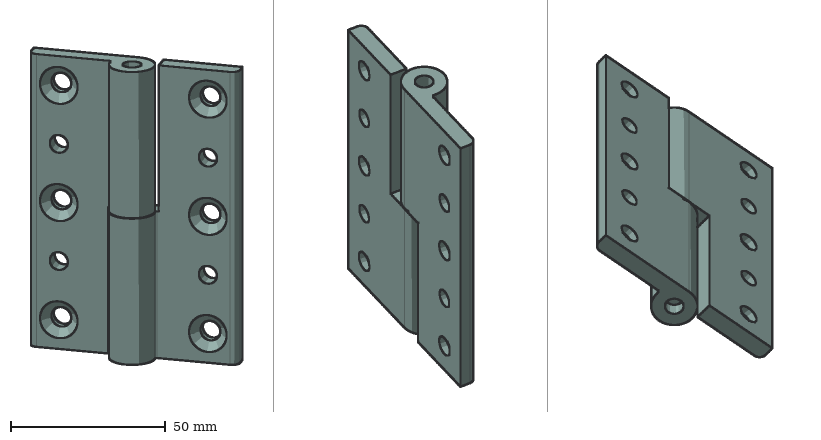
import cadquery as cq
import math

height = 100.0
width = 70.0
leaf_thickness = 6.0
knuckle_diameter = 15.0
leaf_gap = 1.0
joint_gap = 0.2
edge_radius = 2.5
root_radius = 0.5

hole_x = 25.0
screw_heights = (-40.0, 0.0, 40.0)
screw_diameter = 6.6
countersink_diameter = 12.6
countersink_angle = 90.0
dowel_heights = (-20.0, 20.0)
dowel_diameter = 6.0

pin_diameter = 6.0
pin_recess = 5.0

half_height = height / 2
half_width = width / 2
joint_bottom = -joint_gap / 2
knuckle_radius = knuckle_diameter / 2
back_y = knuckle_radius
front_y = back_y - leaf_thickness
notch_x = knuckle_radius + leaf_gap


def knuckle_half():
    """Upper half of the left leaf: plate and knuckle in one profile."""
    diagonal = math.sqrt(0.5)
    root_mid_x = -knuckle_radius - root_radius * (1 - diagonal)
    root_mid_y = front_y - root_radius * (1 - diagonal)
    return (
        cq.Workplane("XY", origin=(0, 0, joint_bottom))
        .moveTo(-half_width, back_y)
        .lineTo(0, back_y)
        .threePointArc((knuckle_radius, 0), (0, -knuckle_radius))
        .threePointArc((-knuckle_radius * diagonal, -knuckle_radius * diagonal), (-knuckle_radius, 0))
        .lineTo(-knuckle_radius, front_y - root_radius)
        .threePointArc((root_mid_x, root_mid_y), (-knuckle_radius - root_radius, front_y))
        .lineTo(-half_width, front_y)
        .close()
        .extrude(half_height - joint_bottom)
    )


def plain_half():
    """Lower half of the left leaf, cut back to clear the other knuckle."""
    return (
        cq.Workplane("XY", origin=(0, 0, -half_height))
        .moveTo(-half_width, front_y)
        .lineTo(-notch_x, front_y)
        .lineTo(-notch_x, back_y)
        .lineTo(-half_width, back_y)
        .close()
        .extrude(half_height + joint_bottom)
    )


def knuckle_clearance():
    """Disc that separates the end faces of the two knuckles."""
    return cq.Workplane("XY").circle(knuckle_radius).extrude(joint_gap / 2, both=True)


def make_leaf():
    """Left leaf, with its knuckle in the upper half."""
    leaf = knuckle_half().cut(knuckle_clearance()).union(plain_half())
    outer_front_edge = cq.selectors.NearestToPointSelector((-half_width, front_y, 0))
    leaf = leaf.edges("|Z").edges(outer_front_edge).fillet(edge_radius)

    pin_bore = cq.Workplane("XY").circle(pin_diameter / 2).extrude(half_height)
    leaf = leaf.cut(pin_bore)

    hole_plane = cq.Plane(origin=(-hole_x, front_y, 0), xDir=(1, 0, 0), normal=(0, -1, 0))
    leaf = (
        leaf.copyWorkplane(cq.Workplane(hole_plane))
        .pushPoints([(0, z) for z in screw_heights])
        .cskHole(screw_diameter, countersink_diameter, countersink_angle)
    )
    return (
        leaf.copyWorkplane(cq.Workplane(hole_plane))
        .pushPoints([(0, z) for z in dowel_heights])
        .hole(dowel_diameter)
    )


def make_pin():
    """Plain pin, recessed below both knuckle ends."""
    return (
        cq.Workplane("XY")
        .circle(pin_diameter / 2)
        .extrude(half_height - pin_recess, both=True)
    )


leaves = [make_leaf().rotate((0, 0, 0), (0, 1, 0), turn) for turn in (0, 180)]
pin = make_pin()

result = cq.Compound.makeCompound([*[leaf.val() for leaf in leaves], pin.val()])